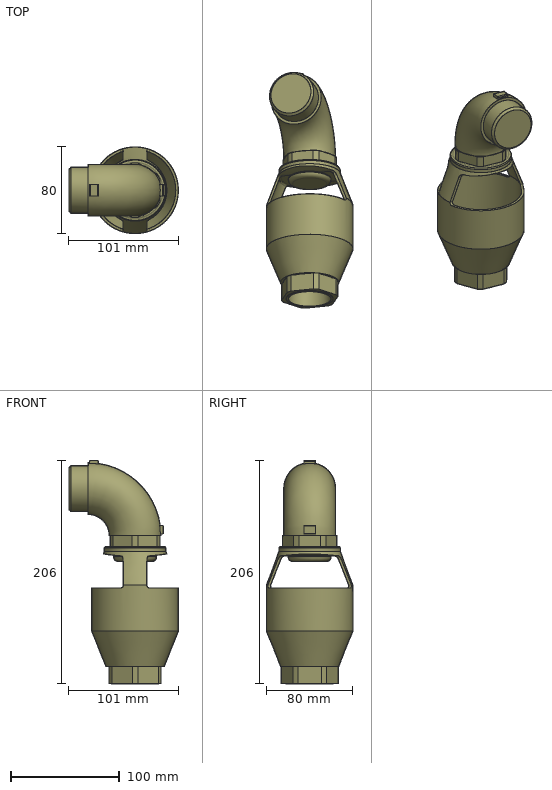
import cadquery as cq
import math


cup_radius = 40.0
wall = 2.5
outlet_rim_radius = 21.6
outlet_rim_height = 0.5
outlet_hex_flats = 48.0
outlet_hex_corner_radius = 26.4
outlet_hex_top = 16.0
outlet_bore_radius = 19.5
cone_bottom_radius = 26.8
cone_top = 48.8
cup_top = 88.5

arm_width = 21.8
arm_bend = 91.0
arm_top_fillet = 3.7
arm_base_fillet = 2.5
arch_bottom = 118.2
arch_radius = 103.0

ring_radius = 28.5
ring_bottom = 122.2
ring_side_top = 125.2
ring_shoulder_radius = 27.8
ring_shoulder_z = 126.5
ring_top_radius = 25.8
ring_top = 126.9
ring_underside = 118.0
inner_fillet = 2.0

neck_radius = 18.7
neck_bottom = 117.5
elbow_hex_flats = 46.1
elbow_hex_corner_radius = 25.1
elbow_hex_top = 136.8
tube_radius = 23.9
bend_radius = 43.3
spigot_radius = 21.2
spigot_length = 17.7
spigot_chamfer = 2.0

tag_length = 8.2
tag_width = 10.7
tag_offset = 1.2
tag_chamfer = 0.8

cap_radius = 19.8
cap_bottom = 112.9
cap_fillet = 4.1

outlet_z = elbow_hex_top + bend_radius
tag_top = 206.0
tag_height = tag_top - outlet_z


def disc(radius, bottom, top):
    return cq.Workplane("XY").workplane(offset=bottom).circle(radius).extrude(top - bottom)


def rounded_hex(flats, corner_radius, bottom, top):
    """Hexagonal prism with flats facing -X and +X and its corners turned to a cylinder."""
    full_diameter = flats / math.cos(math.radians(30))
    prism = (
        cq.Workplane("XY").workplane(offset=bottom)
        .transformed(rotate=(0, 0, 30))
        .polygon(6, full_diameter)
        .extrude(top - bottom)
    )
    return prism.intersect(disc(corner_radius, bottom, top))


def funnel_shell():
    """Cup, upper cone and ring as one turned solid, before it is hollowed."""
    return (
        cq.Workplane("XZ")
        .moveTo(0, outlet_hex_top)
        .lineTo(cone_bottom_radius, outlet_hex_top)
        .lineTo(cup_radius, cone_top)
        .lineTo(cup_radius, arm_bend)
        .lineTo(ring_radius, ring_bottom)
        .lineTo(ring_radius, ring_side_top)
        .lineTo(ring_shoulder_radius, ring_shoulder_z)
        .lineTo(ring_top_radius, ring_top)
        .lineTo(0, ring_top)
        .close()
        .revolve(360, (0, 0, 0), (0, 1, 0))
    )


def funnel_cavity():
    """Inside of the cup and cone, one wall thickness in from the outside."""
    cone_slope = (cup_radius - ring_radius) / (ring_bottom - arm_bend)
    roof_radius = cup_radius - cone_slope * (ring_underside - arm_bend) - wall
    return (
        cq.Workplane("XZ")
        .moveTo(0, outlet_hex_top)
        .lineTo(cone_bottom_radius - wall, outlet_hex_top)
        .lineTo(cup_radius - wall, cone_top)
        .lineTo(cup_radius - wall, arm_bend)
        .lineTo(roof_radius, ring_underside)
        .lineTo(0, ring_underside)
        .close()
        .revolve(360, (0, 0, 0), (0, 1, 0))
        .faces(">Z").edges().fillet(inner_fillet)
    )


def arm_window():
    """Opening on the +X side of the arms, with an arched top that rises outward."""
    inner_x = arm_width / 2
    reach = cup_radius + wall - inner_x

    def arch_point(distance):
        rise = arch_radius - math.sqrt(arch_radius**2 - distance**2)
        return inner_x + distance, arch_bottom + rise

    return (
        cq.Workplane("XZ")
        .moveTo(inner_x, cup_top)
        .lineTo(inner_x, arch_bottom)
        .threePointArc(arch_point(reach / 2), arch_point(reach))
        .lineTo(inner_x + reach, cup_top)
        .close()
        .extrude(cup_radius + wall, both=True)
        .faces("<X").edges(">Z").fillet(arm_top_fillet)
        .faces("<X").edges("<Z").fillet(arm_base_fillet)
    )


def make_funnel():
    outlet = rounded_hex(outlet_hex_flats, outlet_hex_corner_radius, outlet_rim_height, outlet_hex_top)
    funnel = funnel_shell().cut(funnel_cavity())
    funnel = funnel.union(outlet).union(disc(outlet_rim_radius, 0, outlet_rim_height))
    funnel = funnel.cut(disc(outlet_bore_radius, 0, outlet_hex_top))
    funnel = funnel.cut(disc(neck_radius, ring_underside, ring_top))
    window = arm_window()
    return funnel.cut(window).cut(window.mirror("YZ"))


def elbow_bend():
    """Quarter bend from the top of the hexagon to the outlet facing -X."""
    return (
        cq.Workplane("XY").workplane(offset=elbow_hex_top)
        .circle(tube_radius)
        .revolve(90, (-bend_radius, 2, 0), (-bend_radius, 0, 0))
    )


def top_tag():
    tag = cq.Workplane("XY").box(tag_length, tag_width, tag_height, centered=(False, True, False))
    tag = tag.faces(">Z").edges("|Y").chamfer(tag_chamfer)
    return tag.translate((-bend_radius + tag_offset, 0, outlet_z))


def side_tag():
    """The top tag mirrored in the bisecting plane of the bend."""
    turned = top_tag().rotate((-bend_radius, 0, elbow_hex_top), (-bend_radius, 1, elbow_hex_top), 90)
    return turned.translate((0, 0, tag_length + 2 * tag_offset))


def make_elbow():
    spigot = (
        cq.Workplane("YZ").workplane(offset=-bend_radius)
        .center(0, outlet_z)
        .circle(spigot_radius)
        .extrude(-spigot_length)
        .faces("<X").chamfer(spigot_chamfer)
    )
    elbow = disc(neck_radius, neck_bottom, ring_top)
    elbow = elbow.union(rounded_hex(elbow_hex_flats, elbow_hex_corner_radius, ring_top, elbow_hex_top))
    elbow = elbow.union(elbow_bend())
    return elbow.union(spigot).union(top_tag()).union(side_tag())


def make_cap():
    return disc(cap_radius, cap_bottom, neck_bottom).faces("<Z").edges().fillet(cap_fillet)


funnel = make_funnel()
elbow = make_elbow()
cap = make_cap()

result = cq.Compound.makeCompound([*funnel.solids().vals(), *elbow.solids().vals(), *cap.solids().vals()])